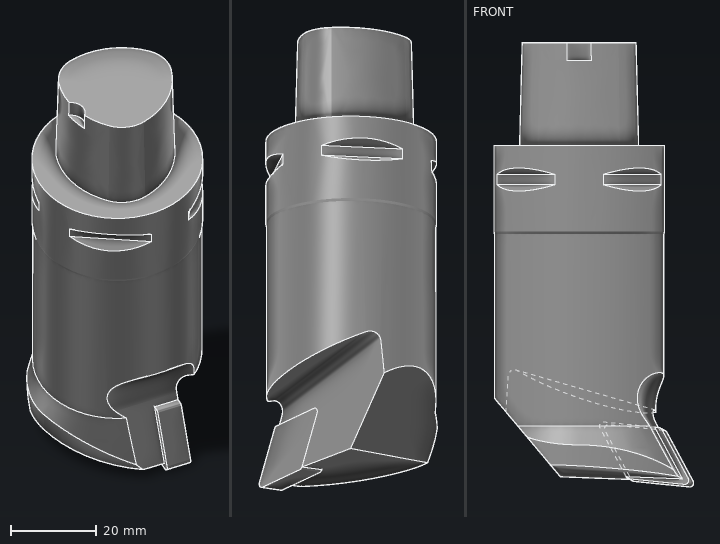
import cadquery as cq
import math


shank_height = 24.0
corner_offset = 6.0
corner_radius = 8.7
taper_per_side = 1 / 40
notch_radius = 3.3
notch_centre_y = -14.1
notch_depth = 4.2

flange_diameter = 40.0
flange_height = 20.8
flange_chamfer = 0.6
body_diameter = 39.7
body_radius = body_diameter / 2

groove_count = 4
groove_floor_distance = 17.6
groove_floor_height = 2.4
groove_mouth_height = 5.4
groove_centre_z = -8.0

flare_start_z = -65.7
flare_half_angle = 28.5
head_bottom_z = -83.2
head_front_y = -22.3
head_left_radius = 17.8
head_right_radius = 30.0
head_back_y = 14.6

relief_start_z = -59.2
relief_angle = 50.0

underside_z_on_axis = -77.3
underside_slope_x = -0.058
underside_slope_y = -0.10

insert_tip = cq.Vector(27.6, -0.2, -80.2)
bottom_edge_direction = cq.Vector(-15.0, 3.0, 1.5)
rake_normal = cq.Vector(0.19, 0.98, -0.1)
insert_edge = 15.5
insert_angle = 55.0
insert_thickness = 6.3
insert_nose_radius = 0.9

flute_end_z_on_axis = -54.4
flute_end_slope_x = -0.34
flute_end_slope_y = -0.24
flute_fillet = 2.6
channel_set_back = 1.2
channel_radius = 8.3
channel_centre_along_edge = 18.1

cutter_size = 124.8


def plane_cutter(origin, normal, x_direction=None):
    """A block that fills the space on the side of a plane to which its normal points."""
    plane = cq.Plane(origin=origin, xDir=x_direction, normal=normal)
    return cq.Workplane(plane).rect(cutter_size, cutter_size).extrude(cutter_size)


def insert_plane():
    bottom_edge = bottom_edge_direction.normalized()
    normal = (rake_normal - bottom_edge * rake_normal.dot(bottom_edge)).normalized()
    angle = math.radians(insert_angle)
    side_edge = bottom_edge * math.cos(angle) + normal.cross(bottom_edge) * math.sin(angle)
    return cq.Plane(origin=insert_tip, xDir=side_edge, normal=normal)


def polar_point(centre, radius, degrees):
    angle = math.radians(degrees)
    return (centre[0] + radius * math.cos(angle), centre[1] + radius * math.sin(angle))


def make_shank():
    side_radius = corner_offset * math.sqrt(3) + corner_radius
    corner_angles = (-30, 90, 210)
    centres = [polar_point((0, 0), corner_offset, angle) for angle in corner_angles]
    outline = cq.Workplane("XY").moveTo(*polar_point(centres[0], corner_radius, corner_angles[0] - 30))
    for index, angle in enumerate(corner_angles):
        opposite = centres[(index + 2) % 3]
        outline = outline.threePointArc(
            polar_point(centres[index], corner_radius, angle),
            polar_point(centres[index], corner_radius, angle + 30),
        ).threePointArc(
            polar_point(opposite, side_radius, angle + 60),
            polar_point(opposite, side_radius, angle + 90),
        )
    taper = math.degrees(math.atan(taper_per_side))
    shank = outline.close().extrude(shank_height, taper=taper)
    notch = (
        cq.Workplane("XY", origin=(0, notch_centre_y, shank_height))
        .circle(notch_radius)
        .extrude(-notch_depth)
    )
    return shank.cut(notch)


def make_groove(angle):
    floor_half = groove_floor_height / 2
    mouth_half = groove_mouth_height / 2
    mouth_distance = flange_diameter / 2
    groove = (
        cq.Workplane("XZ", origin=(0, 0, groove_centre_z))
        .moveTo(groove_floor_distance, -floor_half)
        .lineTo(mouth_distance, -mouth_half)
        .lineTo(mouth_distance, mouth_half)
        .lineTo(groove_floor_distance, floor_half)
        .close()
        .extrude(flange_diameter / 2, both=True)
    )
    return groove.rotate((0, 0, 0), (0, 0, 1), angle)


def make_flange():
    flange = cq.Workplane("XY").circle(flange_diameter / 2).extrude(-flange_height)
    flange = flange.faces("<Z").chamfer(flange_chamfer, (flange_diameter - body_diameter) / 2)
    for index in range(groove_count):
        flange = flange.cut(make_groove((index + 0.5) * 360 / groove_count))
    return flange


def make_head():
    height = flare_start_z - head_bottom_z
    flare_radius = body_radius + height * math.tan(math.radians(flare_half_angle))
    flare = (
        cq.Workplane("XY", origin=(0, 0, head_bottom_z))
        .circle(flare_radius)
        .workplane(offset=height)
        .circle(body_radius)
        .loft()
    )
    left_centre = (0, head_front_y + head_left_radius)
    right_centre = (0, head_front_y + head_right_radius)
    wall = (
        cq.Workplane("XY", origin=(0, 0, head_bottom_z))
        .moveTo(-head_left_radius, left_centre[1])
        .threePointArc(polar_point(left_centre, head_left_radius, 225), (0, head_front_y))
        .threePointArc(
            polar_point(right_centre, head_right_radius, 315),
            polar_point(right_centre, head_right_radius, 0),
        )
        .lineTo(head_right_radius, head_back_y)
        .lineTo(-head_left_radius, head_back_y)
        .close()
        .extrude(height)
    )
    return flare.intersect(wall)


def make_flute():
    frame = insert_plane()
    end_normal = cq.Vector(flute_end_slope_x, flute_end_slope_y, -1)
    flute_end = plane_cutter((0, 0, flute_end_z_on_axis), end_normal)
    in_front_of_rake = plane_cutter(frame.origin, frame.zDir, frame.xDir)
    corner_direction = frame.zDir.cross(end_normal)
    return (
        in_front_of_rake.intersect(flute_end)
        .edges(cq.selectors.ParallelDirSelector(corner_direction))
        .fillet(flute_fillet)
    )


def make_channel():
    centre_y = channel_radius - channel_set_back
    outer_y = centre_y + channel_radius
    base = cq.Workplane(insert_plane())
    run = (
        base.moveTo(-channel_radius, -channel_set_back)
        .lineTo(channel_centre_along_edge, -channel_set_back)
        .lineTo(channel_centre_along_edge, outer_y)
        .lineTo(-channel_radius, outer_y)
        .close()
        .extrude(cutter_size / 2, both=True)
    )
    end = (
        base.moveTo(channel_centre_along_edge, centre_y)
        .circle(channel_radius)
        .extrude(cutter_size / 2, both=True)
    )
    return run.union(end)


def make_insert():
    frame = insert_plane()
    angle = math.radians(insert_angle)
    far_x = insert_edge * math.cos(angle)
    far_y = -insert_edge * math.sin(angle)
    return (
        cq.Workplane(frame)
        .polyline([(0, 0), (insert_edge, 0), (insert_edge + far_x, far_y), (far_x, far_y)])
        .close()
        .extrude(-insert_thickness)
        .edges(cq.selectors.ParallelDirSelector(frame.zDir))
        .fillet(insert_nose_radius)
    )


def make_holder(insert):
    body = (
        cq.Workplane("XY", origin=(0, 0, -flange_height))
        .circle(body_radius)
        .extrude(flare_start_z + flange_height)
    )
    angle = math.radians(relief_angle)
    relief = plane_cutter(
        (-body_radius, 0, relief_start_z), (-math.sin(angle), 0, -math.cos(angle))
    )
    underside = plane_cutter(
        (0, 0, underside_z_on_axis), (underside_slope_x, underside_slope_y, -1)
    )
    tool = body.union(make_head()).cut(relief).cut(underside)
    tool = tool.cut(make_flute()).cut(make_channel()).cut(insert)
    return make_shank().union(make_flange()).union(tool)


cutting_insert = make_insert()
holder = make_holder(cutting_insert)
result = cq.Compound.makeCompound([holder.val(), cutting_insert.val()])